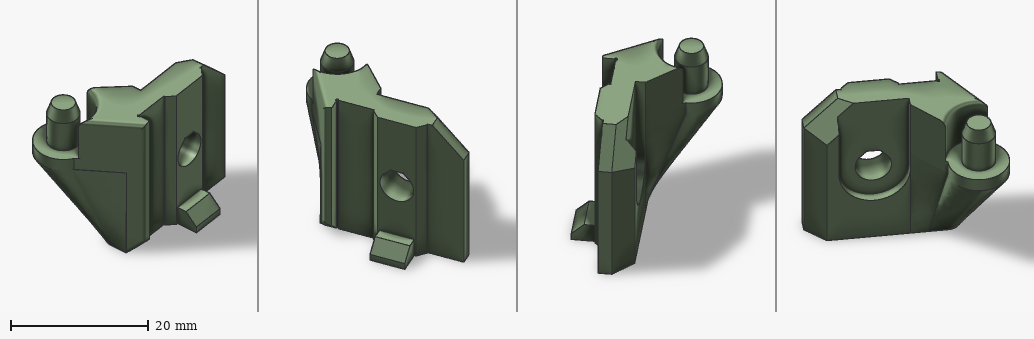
import cadquery as cq
import math

height = 24.0
plate_thickness = 5.0
plate_end_y = 10.0
plate_chamfer = 3.0
top_slope = 5.0

pocket_radius = 5.25
pocket_depth = 1.5
hole_radius = 2.67
hole_flat_height = 2.78
hole_z = height / 2

rib_half_width = 4.23
rib_step = 0.2
rib_x = 6.38
foot_half_width = 2.75
foot_x = 9.9
foot_height = 3.0
foot_chamfer = 1.9

arm_start_y = -pocket_radius
wing_x = 7.0
wing_inner_y = -10.03
wing_corner_y = -11.3
arm_outer_angle = math.radians(32.5)
arm_tip_x = -2.32
edge_radius = 1.0
relief_radius = 0.2

pin_x = -5.5
pin_y = -14.5
pin_radius = 4.9 / 2
pin_tip_radius = 1.77
pin_tip_length = 2.0
collar_radius = 4.5
collar_bottom = 14.88
collar_top = 16.95
clearance_radius = 4.85

base_corner_radius = 2.0
base_front_y = -12.8
base_seam_y = -7.85
base_right_x = 4.8
collar_rear_angle = math.radians(87)
collar_front_angle = math.radians(327)


def outer_wall_y(x):
    """Y of the arm's slanted outer wall at the given X."""
    return wing_corner_y - (wing_x - x) * math.tan(arm_outer_angle)


def on_collar(angle):
    """Point on the collar's rim at the given angle from +X."""
    return (pin_x + collar_radius * math.cos(angle), pin_y + collar_radius * math.sin(angle))


def pick_edges(body, points):
    """Select the edge of the body nearest to each point."""
    edges = [body.edges(cq.NearestToPointSelector(point)).val() for point in points]
    return body.newObject(edges)


def make_plate():
    plate = (
        cq.Workplane("YZ")
        .moveTo(arm_start_y, 0)
        .lineTo(plate_end_y, 0)
        .lineTo(plate_end_y, height - top_slope)
        .lineTo(plate_end_y - top_slope, height)
        .lineTo(arm_start_y, height)
        .close()
        .extrude(plate_thickness)
    )
    end_edge = (0, plate_end_y, (height - top_slope) / 2)
    sloping_edge = (0, plate_end_y - top_slope / 2, height - top_slope / 2)
    return pick_edges(plate, [end_edge, sloping_edge]).chamfer(plate_chamfer)


def make_key():
    rib_tip = rib_half_width - (rib_x - plate_thickness - rib_step)
    rib = (
        cq.Workplane("XY")
        .polyline([
            (plate_thickness, -rib_half_width),
            (plate_thickness + rib_step, -rib_half_width),
            (rib_x, -rib_tip),
            (rib_x, rib_tip),
            (plate_thickness + rib_step, rib_half_width),
            (plate_thickness, rib_half_width),
        ])
        .close()
        .extrude(height)
    )
    foot = (
        cq.Workplane("XY")
        .box(foot_x - plate_thickness, 2 * foot_half_width, foot_height, centered=(False, True, False))
        .translate((plate_thickness, 0, 0))
        .edges(">X and >Z")
        .chamfer(foot_chamfer)
    )
    return rib.union(foot)


def make_arm():
    arm = (
        cq.Workplane("XY")
        .polyline([
            (0, arm_start_y),
            on_collar(collar_rear_angle),
            (pin_x, pin_y),
            (arm_tip_x, outer_wall_y(arm_tip_x)),
            (wing_x, wing_corner_y),
            (wing_x, wing_inner_y),
            (plate_thickness, wing_inner_y),
            (plate_thickness, arm_start_y),
        ])
        .close()
        .extrude(height)
    )
    wing_bevel = wing_x - plate_thickness
    lower_edge = (wing_x, (wing_corner_y + wing_inner_y) / 2, 0)
    arm = pick_edges(arm, [lower_edge]).chamfer(wing_bevel)

    outer_mid_x = (wing_x + arm_tip_x) / 2
    bevel_mid_x = wing_x - wing_bevel / 2
    arm = pick_edges(arm, [
        (outer_mid_x, outer_wall_y(outer_mid_x), height),
        (wing_x, wing_corner_y, height / 2),
        (bevel_mid_x, outer_wall_y(bevel_mid_x), wing_bevel / 2),
    ]).fillet(edge_radius)

    lower_span = base_right_x - pin_x
    lower_space = (
        cq.Workplane("XY")
        .box(lower_span, arm_start_y - outer_wall_y(pin_x), collar_bottom, centered=False)
        .translate((pin_x, outer_wall_y(pin_x), 0))
    )
    return arm.cut(lower_space)


def make_support():
    """Ruled taper from the collar and arm outline down to the rounded base corner."""
    diagonal = base_corner_radius * (1 - math.sqrt(0.5))
    base = (
        cq.Workplane("XY")
        .moveTo(0, arm_start_y)
        .lineTo(0, base_seam_y)
        .lineTo(0, base_front_y + base_corner_radius)
        .threePointArc((diagonal, base_front_y + diagonal), (base_corner_radius, base_front_y))
        .lineTo(base_right_x, base_front_y)
        .lineTo(plate_thickness, wing_inner_y)
        .lineTo(plate_thickness, arm_start_y)
        .close()
    )
    top = (
        cq.Workplane("XY", origin=(0, 0, collar_bottom))
        .moveTo(0, arm_start_y)
        .lineTo(*on_collar(collar_rear_angle))
        .threePointArc(on_collar((collar_rear_angle + math.pi) / 2), on_collar(math.pi))
        .threePointArc(on_collar((math.pi + collar_front_angle) / 2), on_collar(collar_front_angle))
        .lineTo(base_right_x, outer_wall_y(base_right_x))
        .lineTo(plate_thickness, wing_inner_y)
        .lineTo(plate_thickness, arm_start_y)
        .close()
    )
    return cq.Workplane("XY").add(cq.Solid.makeLoft([base.val(), top.val()], True))


def make_pin():
    collar = cq.Workplane("XY").circle(collar_radius).extrude(collar_top - collar_bottom)
    pin = (
        cq.Workplane("XZ")
        .polyline([
            (0, 0),
            (pin_radius, 0),
            (pin_radius, height - pin_tip_length - collar_bottom),
            (pin_tip_radius, height - collar_bottom),
            (0, height - collar_bottom),
        ])
        .close()
        .revolve(360, (0, 0), (0, 1))
    )
    return collar.union(pin).translate((pin_x, pin_y, collar_bottom))


def make_clearance():
    """Round space above the collar, flaring out at the top into a rounded rim."""
    rim_radius = clearance_radius + edge_radius
    rim_mid = edge_radius * (1 - math.sqrt(0.5))
    return (
        cq.Workplane("XZ")
        .moveTo(0, collar_top)
        .lineTo(clearance_radius, collar_top)
        .lineTo(clearance_radius, height - edge_radius)
        .threePointArc((clearance_radius + rim_mid, height - rim_mid), (rim_radius, height))
        .lineTo(0, height)
        .close()
        .revolve(360, (0, 0), (0, 1))
        .translate((pin_x, pin_y, 0))
    )


def make_pocket():
    return (
        cq.Workplane("YZ")
        .moveTo(-pocket_radius, height)
        .lineTo(-pocket_radius, hole_z)
        .threePointArc((0, hole_z - pocket_radius), (pocket_radius, hole_z))
        .lineTo(pocket_radius, height)
        .close()
        .extrude(pocket_depth)
    )


def make_hole():
    """Round hole with a 45 degree roof cut off flat."""
    tangent = hole_radius * math.sqrt(0.5)
    flat_half_width = hole_radius * math.sqrt(2) - hole_flat_height
    return (
        cq.Workplane("YZ")
        .moveTo(-tangent, hole_z + tangent)
        .threePointArc((0, hole_z - hole_radius), (tangent, hole_z + tangent))
        .lineTo(flat_half_width, hole_z + hole_flat_height)
        .lineTo(-flat_half_width, hole_z + hole_flat_height)
        .close()
        .extrude(rib_x)
    )


def make_relief():
    """Small vertical relief in the corner between the plate and the wing."""
    return cq.Workplane("XY").center(plate_thickness, wing_inner_y).circle(relief_radius).extrude(height)


body = make_plate().union(make_key()).union(make_arm()).union(make_support())
body = body.cut(make_clearance()).union(make_pin())
result = body.cut(make_pocket()).cut(make_hole()).cut(make_relief())